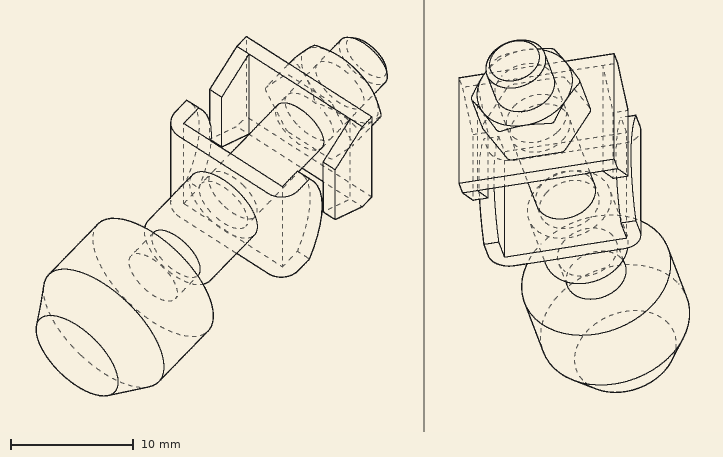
import cadquery as cq
import math

total_length = 38.0
rod_radius = 2.5
rod_chamfer = 0.4
bumper_radius = 6.25
bumper_front_radius = 4.25
bumper_cone_length = 3.5
bumper_length = 10.0
collar_radius = 3.515
collar_front = 13.0
collar_fillet = 0.45

bracket_height = 11.17
sheet_thickness = 1.25

front_bracket_width = 12.73
front_bracket_start = 19.23
front_bracket_depth = 4.9
front_bracket_bend_radius = 1.75
front_flange_arc_rise = 1.67

rear_bracket_width = 13.0
rear_bracket_end = 30.48
rear_bracket_depth = 4.83
rear_flange_tip_height = 6.95

nut_across_flats = 7.98
nut_thickness = 4.03
nut_corner_fillet = 0.5
nut_rim_chamfer_angle = 30.0


def cylinder_along_y(radius, start, end):
    """Cylinder on the spindle axis between two Y positions."""
    axis = cq.Vector(0, 1, 0)
    return cq.Workplane(cq.Solid.makeCylinder(radius, end - start, cq.Vector(0, start, 0), axis))


def make_spindle():
    """Rod with a coned bumper in front and a rounded collar."""
    bumper = (
        cq.Workplane("XY")
        .moveTo(0, 0)
        .lineTo(bumper_front_radius, 0)
        .lineTo(bumper_radius, bumper_cone_length)
        .lineTo(bumper_radius, bumper_length)
        .lineTo(0, bumper_length)
        .close()
        .revolve(360, (0, 0, 0), (0, 1, 0))
    )
    collar = cylinder_along_y(collar_radius, collar_front, front_bracket_start)
    collar = collar.faces("<Y").edges().fillet(collar_fillet)
    rod = cylinder_along_y(rod_radius, bumper_length, total_length)
    rod = rod.faces(">Y").edges().chamfer(rod_chamfer)
    return bumper.union(rod).union(collar)


def make_channel(width, web_start, web_end, flange_tip):
    """U channel whose flanges run from the web to flange_tip along Y."""
    y_low = min(web_start, flange_tip)
    y_high = max(web_end, flange_tip)
    block = cq.Workplane("XY").box(width, y_high - y_low, bracket_height)
    block = block.translate((0, (y_low + y_high) / 2, 0))
    inner_low = web_end if flange_tip > web_end else y_low
    inner_high = y_high if flange_tip > web_end else web_start
    inner_width = width - 2 * sheet_thickness
    opening = cq.Workplane("XY").box(inner_width, inner_high - inner_low, bracket_height)
    opening = opening.translate((0, (inner_low + inner_high) / 2, 0))
    rod_hole = cylinder_along_y(rod_radius, web_start, web_end)
    return block.cut(opening).cut(rod_hole)


def make_front_bracket():
    """Channel opening toward +Y, with rounded bends and arched flanges."""
    web_end = front_bracket_start + sheet_thickness
    flange_tip = front_bracket_start + front_bracket_depth
    channel = make_channel(front_bracket_width, front_bracket_start, web_end, flange_tip)
    channel = channel.faces("<Y").edges("|Z").fillet(front_bracket_bend_radius)
    half_height = bracket_height / 2
    arc_start = flange_tip - front_flange_arc_rise
    side_profile = (
        cq.Workplane("YZ")
        .moveTo(front_bracket_start, -half_height)
        .lineTo(arc_start, -half_height)
        .threePointArc((flange_tip, 0), (arc_start, half_height))
        .lineTo(front_bracket_start, half_height)
        .close()
        .extrude(front_bracket_width / 2, both=True)
    )
    return channel.intersect(side_profile)


def make_rear_bracket():
    """Channel opening toward -Y, with flanges that taper to their tips."""
    web_start = rear_bracket_end - sheet_thickness
    flange_tip = rear_bracket_end - rear_bracket_depth
    channel = make_channel(rear_bracket_width, web_start, rear_bracket_end, flange_tip)
    half_height = bracket_height / 2
    half_tip = rear_flange_tip_height / 2
    side_profile = (
        cq.Workplane("YZ")
        .polyline([
            (rear_bracket_end, -half_height),
            (web_start, -half_height),
            (flange_tip, -half_tip),
            (flange_tip, half_tip),
            (web_start, half_height),
            (rear_bracket_end, half_height),
        ])
        .close()
        .extrude(rear_bracket_width / 2, both=True)
    )
    return channel.intersect(side_profile)


def make_nut():
    """Hex nut with flats facing +Z and -Z, rounded corners and a coned rear rim."""
    nut_end = rear_bracket_end + nut_thickness
    corner_radius = nut_across_flats / 2 / math.cos(math.radians(30))
    hexagon = (
        cq.Workplane("XZ", origin=(0, nut_end, 0))
        .polygon(6, 2 * corner_radius)
        .extrude(nut_thickness)
        .edges("|Y")
        .fillet(nut_corner_fillet)
    )
    rim_radius = nut_across_flats / 2
    rim_drop = (corner_radius - rim_radius) * math.tan(math.radians(nut_rim_chamfer_angle))
    rim_cone = (
        cq.Workplane("XY")
        .moveTo(0, rear_bracket_end)
        .lineTo(corner_radius, rear_bracket_end)
        .lineTo(corner_radius, nut_end - rim_drop)
        .lineTo(rim_radius, nut_end)
        .lineTo(0, nut_end)
        .close()
        .revolve(360, (0, 0, 0), (0, 1, 0))
    )
    rod_hole = cylinder_along_y(rod_radius, rear_bracket_end, nut_end)
    return hexagon.intersect(rim_cone).cut(rod_hole)


spindle = make_spindle()
front_bracket = make_front_bracket()
rear_bracket = make_rear_bracket()
nut = make_nut()

result = cq.Compound.makeCompound([
    spindle.val(),
    front_bracket.val(),
    rear_bracket.val(),
    nut.val(),
])